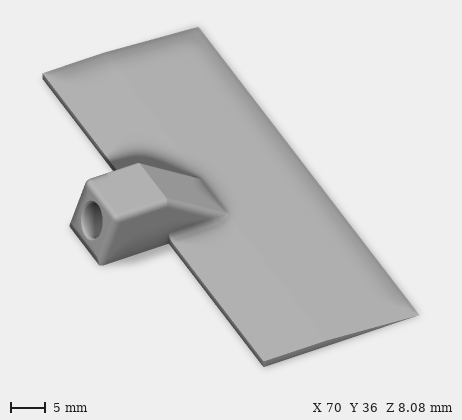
import cadquery as cq
import math

blade_length = 70.0
flat_width = 10.0
taper_width = 15.0
blade_thickness = 1.08

socket_width = 10.0
socket_rise = 7.0
nose_reach = 11.0
nose_lean = math.radians(20.0)
round_radius = 1.0
root_radius = 1.0

hole_diameter = 5.2
hole_depth = 5.0
hole_height = 4.36
mouth_chamfer = 0.25

socket_top = blade_thickness + socket_rise
blade_width = flat_width + taper_width


def nose_y(z):
    """Y of the leaning nose face at height z."""
    return -nose_reach + (z - blade_thickness) * math.tan(nose_lean)


def extrude_along_x(points, length):
    """Extrude a (Y, Z) outline by length, centred on X = 0."""
    return cq.Workplane("YZ").polyline(points).close().extrude(length / 2, both=True)


def make_slab():
    """The blade before its far side is tapered."""
    outline = [
        (0, 0),
        (blade_width, 0),
        (blade_width, blade_thickness),
        (0, blade_thickness),
    ]
    return extrude_along_x(outline, blade_length)


def make_socket():
    """Rounded block; its nose tip is cut off by an upright face at full reach."""
    ramp_slope = socket_rise / flat_width
    ramp_foot = flat_width + blade_thickness / ramp_slope
    outline = [
        (nose_y(0), 0),
        (ramp_foot, 0),
        (0, socket_top),
        (nose_y(socket_top), socket_top),
    ]
    block = extrude_along_x(outline, socket_width)
    side_edges = block.faces("<X or >X").edges("not <Z")
    nose_top_edge = block.faces(">Z").edges("<Y")
    block = side_edges.add(nose_top_edge).fillet(round_radius)
    tip = [
        (nose_y(0), 0),
        (-nose_reach, 0),
        (-nose_reach, blade_thickness),
        (nose_y(0), blade_thickness),
    ]
    return block.cut(extrude_along_x(tip, socket_width))


def fillet_root(body):
    """Blend the socket into the slab; the chain runs on round the ramp foot."""
    half_width = socket_width / 2
    root_point = (half_width, flat_width / 2, blade_thickness)
    return body.edges(cq.selectors.NearestToPointSelector(root_point)).fillet(root_radius)


def make_taper_cut():
    """Wedge above the tapered side, ending upright at the crease."""
    outline = [
        (flat_width, blade_thickness),
        (flat_width, socket_top),
        (blade_width, socket_top),
        (blade_width, 0),
    ]
    return extrude_along_x(outline, blade_length)


def make_hole():
    inward = cq.Vector(0, math.cos(nose_lean), -math.sin(nose_lean))
    mouth = cq.Vector(0, nose_y(hole_height), hole_height)
    radius = hole_diameter / 2
    bore = cq.Solid.makeCylinder(radius, hole_depth, mouth, inward)
    flare = cq.Solid.makeCone(radius + mouth_chamfer, radius, mouth_chamfer, mouth, inward)
    return cq.Workplane(obj=bore).union(cq.Workplane(obj=flare))


body = fillet_root(make_slab().union(make_socket()))
result = body.cut(make_taper_cut()).cut(make_hole())